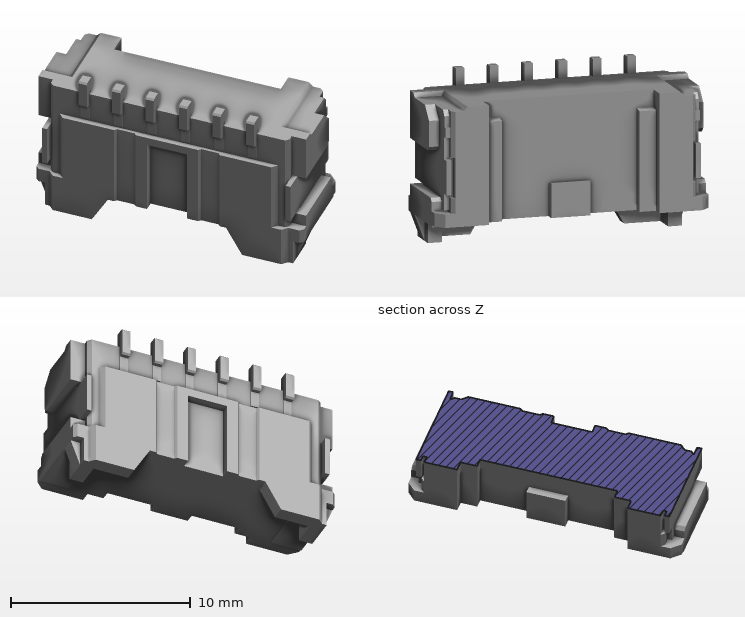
import cadquery as cq


PIN_COUNT = 6
PIN_PITCH = 2.0
PIN_WIDTH = 0.5
PIN_TOP_Z = 9.45
PIN_BACK_Y = 0.66
PIN_TAIL_Z = 7.75
PIN_TAIL_CHAMFER = 0.1
PIN_ROOT_Y = 0.34
PIN_ROOT_Z = 6.77

CORE_HALF_WIDTH = 7.13
CORE_FRONT_Y = 0.41
BACK_Y = 5.9
TOP_Z = 8.45
CORE_BOTTOM_Z = 1.63
CORE_CHAMFER = 0.2

SHOULDER_HALF_X = 6.21
SHOULDER_FRONT_Y = 1.53
SHOULDER_DEPTH = 0.24
SHOULDER_Z = TOP_Z - SHOULDER_DEPTH

OUTER_HALF_WIDTH = 8.0
EAR_FRONT_Y = 0.92
UPPER_EAR_BACK_Y = 4.42
UPPER_EAR_BOTTOM_Z = 5.73
UPPER_EAR_TOP_CHAMFER = 0.76
UPPER_EAR_LOWER_CHAMFER = 0.23
LOWER_EAR_BACK_Y = 4.9
LOWER_EAR_TOP_Z = 3.13
LOWER_EAR_CHAMFER = 0.2
RAIL_TOP_Z = 2.4
RAIL_BOTTOM_Z = 1.53
RAIL_BACK_CHAMFER = 0.5
RAIL_STEP_Y = 5.1

NAIL_HALF_WIDTH = 7.42
NAIL_TAB_TOP_Z = 5.63
NAIL_TAB_BOTTOM_Z = 3.22
NAIL_BOTTOM_Z = 2.5
NAIL_FRONT_Y = 1.5
NAIL_BACK_Y = 5.33
NAIL_UPPER_BACK_Y = 5.42
NAIL_TOP_CHAMFER_Y = 0.26
NAIL_TOP_CHAMFER_Z = 0.32
NAIL_BARB_Y = 5.62
NAIL_BARB_TOP_Z = 7.26
NAIL_BARB_BOTTOM_Z = 6.69
NAIL_HOOK_Y = 5.83
NAIL_HOOK_TOP_Z = 5.43
NAIL_HOOK_BOTTOM_Z = 3.46
HOOK_SLOT_FRONT_Y = 5.46
HOOK_SLOT_TOP_Z = 5.58
HOOK_SLOT_BOTTOM_Z = 3.27

PANEL_FRONT_Y = 0.1
PANEL_TOP_Z = 6.6
PANEL_HALF_WIDTH = 6.53
PANEL_BEVEL = 0.3
GROOVE_CENTRE_X = 2.51
GROOVE_TOP_WIDTH = 1.31
GROOVE_DEPTH = 0.14
POCKET_WIDTH = 2.38
POCKET_TOP_Z = 6.11
POCKET_DEPTH = 0.54

LEG_WALL_BACK_Y = 0.92
LEG_INNER_BOTTOM_X = 4.49
LEG_INNER_TOP_X = 3.53
LEG_POST_INNER_X = 6.6
LEG_POST_BACK_Y = 2.36
GUSSET_BACK_Y = 1.74

BACK_NOTCH_HALF_WIDTH = 4.98
BACK_NOTCH_Y = 4.75
BACK_RIB_Y = 5.28
BACK_RIB_WIDTH = 0.97
BACK_RIB_TOP_Z = 7.45
LATCH_WIDTH = 2.28
LATCH_TOP_Z = 3.6
LATCH_LIP = 0.1
BACK_SLOPE = 0.08


def box(x0, x1, y0, y1, z0, z1):
    """Axis-aligned block between two corners."""
    return cq.Workplane("XY").box(x1 - x0, y1 - y0, z1 - z0, centered=False).translate((x0, y0, z0))


def prism_along_x(yz_points, x0, x1):
    """Extrude a (y, z) outline from x0 to x1."""
    return cq.Workplane("YZ", origin=(x0, 0, 0)).polyline(yz_points).close().extrude(x1 - x0)


def prism_along_y(xz_points, y0, y1):
    """Extrude an (x, z) outline from y0 to y1."""
    return cq.Workplane("XZ", origin=(0, y0, 0)).polyline(xz_points).close().extrude(y0 - y1)


def prism_along_z(xy_points, z0, z1):
    """Extrude an (x, y) outline from z0 to z1."""
    return cq.Workplane("XY", origin=(0, 0, z0)).polyline(xy_points).close().extrude(z1 - z0)


def both_ends(end_part):
    """The given +X end feature together with its mirror image at -X."""
    return end_part.union(end_part.mirror("YZ"))


def mirrored_outline(points):
    """Close a +X half outline with its mirror image across x = 0."""
    return points + [(-x, v) for x, v in reversed(points)]


def make_core():
    inset = CORE_HALF_WIDTH - CORE_CHAMFER
    half = [
        (inset, CORE_FRONT_Y),
        (CORE_HALF_WIDTH, CORE_FRONT_Y + CORE_CHAMFER),
        (CORE_HALF_WIDTH, BACK_Y - CORE_CHAMFER),
        (inset, BACK_Y),
    ]
    return prism_along_z(mirrored_outline(half), CORE_BOTTOM_Z, TOP_Z)


def make_upper_ear():
    outline = [
        (EAR_FRONT_Y, UPPER_EAR_BOTTOM_Z),
        (UPPER_EAR_BACK_Y - UPPER_EAR_LOWER_CHAMFER, UPPER_EAR_BOTTOM_Z),
        (UPPER_EAR_BACK_Y, UPPER_EAR_BOTTOM_Z + UPPER_EAR_LOWER_CHAMFER),
        (UPPER_EAR_BACK_Y, SHOULDER_Z - UPPER_EAR_TOP_CHAMFER),
        (UPPER_EAR_BACK_Y - UPPER_EAR_TOP_CHAMFER, SHOULDER_Z),
        (UPPER_EAR_BACK_Y - UPPER_EAR_TOP_CHAMFER, TOP_Z),
        (EAR_FRONT_Y, TOP_Z),
    ]
    return prism_along_x(outline, SHOULDER_HALF_X, OUTER_HALF_WIDTH)


def make_lower_ear():
    outline = [
        (EAR_FRONT_Y, RAIL_BOTTOM_Z),
        (LOWER_EAR_BACK_Y, RAIL_BOTTOM_Z),
        (LOWER_EAR_BACK_Y, LOWER_EAR_TOP_Z - LOWER_EAR_CHAMFER),
        (LOWER_EAR_BACK_Y - LOWER_EAR_CHAMFER, LOWER_EAR_TOP_Z),
        (EAR_FRONT_Y, LOWER_EAR_TOP_Z),
    ]
    return prism_along_x(outline, SHOULDER_HALF_X, OUTER_HALF_WIDTH)


def make_rail():
    outline = [
        (SHOULDER_HALF_X, CORE_FRONT_Y),
        (OUTER_HALF_WIDTH - CORE_CHAMFER, CORE_FRONT_Y),
        (OUTER_HALF_WIDTH, CORE_FRONT_Y + CORE_CHAMFER),
        (OUTER_HALF_WIDTH, BACK_Y - RAIL_BACK_CHAMFER),
        (OUTER_HALF_WIDTH - RAIL_BACK_CHAMFER, BACK_Y),
        (SHOULDER_HALF_X, BACK_Y),
    ]
    rail = prism_along_z(outline, RAIL_BOTTOM_Z, RAIL_TOP_Z)
    heel_relief = box(0, OUTER_HALF_WIDTH, RAIL_STEP_Y, BACK_Y, RAIL_BOTTOM_Z, CORE_BOTTOM_Z)
    return rail.cut(heel_relief)


def make_shoulder_cutter():
    """Shoulder recess whose front and inner walls slope outwards at 45 degrees."""
    x1 = OUTER_HALF_WIDTH + SHOULDER_DEPTH
    y1 = BACK_Y + SHOULDER_DEPTH
    outline = [(SHOULDER_HALF_X, SHOULDER_FRONT_Y), (x1, SHOULDER_FRONT_Y), (x1, y1), (SHOULDER_HALF_X, y1)]
    taper_angle = 45
    return (
        cq.Workplane("XY", origin=(0, 0, TOP_Z))
        .polyline(outline)
        .close()
        .extrude(-SHOULDER_DEPTH, taper=taper_angle)
    )


def make_nail():
    outline = [
        (0, NAIL_TAB_BOTTOM_Z),
        (NAIL_FRONT_Y, NAIL_TAB_BOTTOM_Z),
        (NAIL_FRONT_Y, NAIL_BOTTOM_Z),
        (NAIL_BACK_Y, NAIL_BOTTOM_Z),
        (NAIL_BACK_Y, NAIL_HOOK_BOTTOM_Z),
        (NAIL_HOOK_Y, NAIL_HOOK_BOTTOM_Z),
        (NAIL_HOOK_Y, NAIL_HOOK_TOP_Z),
        (NAIL_BACK_Y, NAIL_HOOK_TOP_Z),
        (NAIL_BACK_Y, NAIL_BARB_BOTTOM_Z),
        (NAIL_BARB_Y, NAIL_BARB_BOTTOM_Z),
        (NAIL_BARB_Y, NAIL_BARB_TOP_Z),
        (NAIL_UPPER_BACK_Y, NAIL_BARB_TOP_Z),
        (NAIL_UPPER_BACK_Y, SHOULDER_Z - NAIL_TOP_CHAMFER_Z),
        (NAIL_UPPER_BACK_Y - NAIL_TOP_CHAMFER_Y, SHOULDER_Z),
        (NAIL_FRONT_Y, SHOULDER_Z),
        (NAIL_FRONT_Y, NAIL_TAB_TOP_Z),
        (0, NAIL_TAB_TOP_Z),
    ]
    return prism_along_x(outline, CORE_HALF_WIDTH, NAIL_HALF_WIDTH)


def make_hook_slot():
    """Slot in the core's rear corner that clears the nail hook."""
    inner_x = CORE_HALF_WIDTH - CORE_CHAMFER
    return box(inner_x, CORE_HALF_WIDTH, HOOK_SLOT_FRONT_Y, BACK_Y, HOOK_SLOT_BOTTOM_Z, HOOK_SLOT_TOP_Z)


def make_panel():
    """Raised front panel, wider below the rail top than above it."""
    upper = [
        (PANEL_HALF_WIDTH - PANEL_BEVEL, PANEL_FRONT_Y),
        (PANEL_HALF_WIDTH, CORE_FRONT_Y),
        (PANEL_HALF_WIDTH, LEG_WALL_BACK_Y),
    ]
    lower = [
        (CORE_HALF_WIDTH - PANEL_BEVEL, PANEL_FRONT_Y),
        (CORE_HALF_WIDTH, CORE_FRONT_Y),
        (NAIL_HALF_WIDTH, CORE_FRONT_Y),
        (NAIL_HALF_WIDTH, LEG_WALL_BACK_Y),
    ]
    panel = prism_along_z(mirrored_outline(upper), RAIL_TOP_Z, PANEL_TOP_Z)
    panel = panel.union(prism_along_z(mirrored_outline(lower), 0, RAIL_TOP_Z))
    opening = [(LEG_INNER_BOTTOM_X, 0), (LEG_INNER_TOP_X, CORE_BOTTOM_Z)]
    return panel.cut(prism_along_y(mirrored_outline(opening), 0, LEG_WALL_BACK_Y))


def make_panel_groove():
    half_top = GROOVE_TOP_WIDTH / 2
    half_floor = half_top - GROOVE_DEPTH
    floor_y = PANEL_FRONT_Y + GROOVE_DEPTH
    outline = [
        (GROOVE_CENTRE_X - half_top, PANEL_FRONT_Y),
        (GROOVE_CENTRE_X + half_top, PANEL_FRONT_Y),
        (GROOVE_CENTRE_X + half_floor, floor_y),
        (GROOVE_CENTRE_X - half_floor, floor_y),
    ]
    return prism_along_z(outline, 0, PANEL_TOP_Z)


def make_pocket():
    half = POCKET_WIDTH / 2
    return box(-half, half, PANEL_FRONT_Y, PANEL_FRONT_Y + POCKET_DEPTH, 0, POCKET_TOP_Z)


def make_leg_end():
    """Post at the outer end of a leg, with a tapered gusset up to the rail."""
    post = box(LEG_POST_INNER_X, NAIL_HALF_WIDTH, LEG_WALL_BACK_Y, LEG_POST_BACK_Y, 0, RAIL_TOP_Z)
    gusset_outline = [
        (LEG_POST_INNER_X, 0),
        (NAIL_HALF_WIDTH, 0),
        (OUTER_HALF_WIDTH, RAIL_BOTTOM_Z),
        (LEG_POST_INNER_X, RAIL_BOTTOM_Z),
    ]
    return post.union(prism_along_y(gusset_outline, EAR_FRONT_Y, GUSSET_BACK_Y))


def make_back_rib():
    """Rib in a corner of the back notch, its top falling away to the rear."""
    outline = [
        (BACK_NOTCH_Y, CORE_BOTTOM_Z),
        (BACK_RIB_Y, CORE_BOTTOM_Z),
        (BACK_RIB_Y, BACK_RIB_TOP_Z - BACK_SLOPE),
        (BACK_NOTCH_Y, BACK_RIB_TOP_Z),
    ]
    return prism_along_x(outline, BACK_NOTCH_HALF_WIDTH - BACK_RIB_WIDTH, BACK_NOTCH_HALF_WIDTH)


def make_latch():
    """Catch in the middle of the back notch, its top dipping towards the core behind a flat lip."""
    outline = [
        (BACK_NOTCH_Y, CORE_BOTTOM_Z),
        (BACK_RIB_Y, CORE_BOTTOM_Z),
        (BACK_RIB_Y, LATCH_TOP_Z),
        (BACK_RIB_Y - LATCH_LIP, LATCH_TOP_Z),
        (BACK_NOTCH_Y, LATCH_TOP_Z - BACK_SLOPE),
    ]
    return prism_along_x(outline, -LATCH_WIDTH / 2, LATCH_WIDTH / 2)


def make_pin(centre_x):
    outline = [
        (PIN_ROOT_Y, PIN_ROOT_Z),
        (PIN_ROOT_Y, PIN_TAIL_Z),
        (PIN_TAIL_CHAMFER, PIN_TAIL_Z),
        (0, PIN_TAIL_Z + PIN_TAIL_CHAMFER),
        (0, PIN_TOP_Z - PIN_TAIL_CHAMFER),
        (PIN_TAIL_CHAMFER, PIN_TOP_Z),
        (PIN_BACK_Y, PIN_TOP_Z),
        (PIN_BACK_Y, PIN_ROOT_Z),
    ]
    return prism_along_x(outline, centre_x - PIN_WIDTH / 2, centre_x + PIN_WIDTH / 2)


result = make_core().cut(both_ends(make_hook_slot()))
for end_feature in (make_upper_ear(), make_lower_ear(), make_rail(), make_leg_end()):
    result = result.union(both_ends(end_feature))
result = result.cut(both_ends(make_shoulder_cutter()))
result = result.union(both_ends(make_nail()))

result = result.union(make_panel())
result = result.cut(both_ends(make_panel_groove())).cut(make_pocket())

back_notch = box(
    -BACK_NOTCH_HALF_WIDTH, BACK_NOTCH_HALF_WIDTH, BACK_NOTCH_Y, BACK_Y, CORE_BOTTOM_Z, TOP_Z
)
result = result.cut(back_notch).union(both_ends(make_back_rib())).union(make_latch())

first_pin_x = -PIN_PITCH * (PIN_COUNT - 1) / 2
for index in range(PIN_COUNT):
    result = result.union(make_pin(first_pin_x + index * PIN_PITCH))